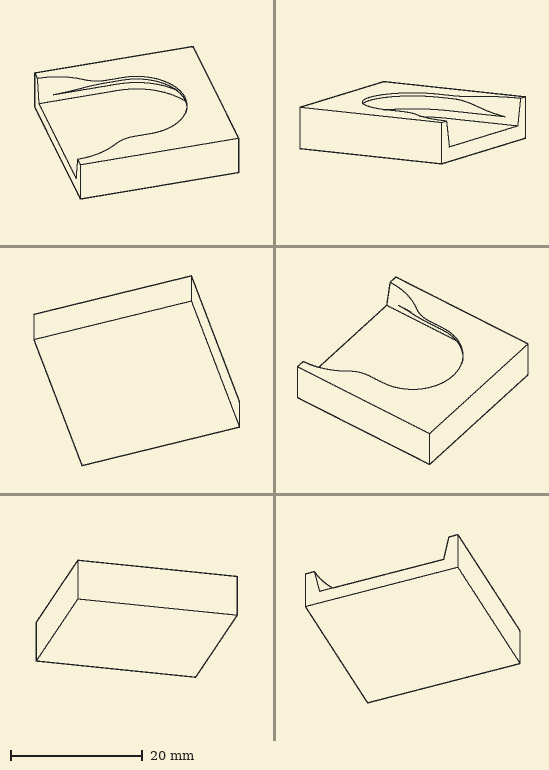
import cadquery as cq

side = 25.0
height = 6.4

floor_z = 2.28
undercut_z = 3.48
neck_z = 5.92
undercut_radius = 10.15
neck_radius = 7.62
end_center_y = 0.0

flare_bottom_radius = undercut_radius
flare_top_radius = 11.0
flare_blend_radius = 4.75

front_y = -side / 2
slot_depth = height - floor_z
corner_margin = 0.25
runout = side


def slot_slab(radius, bottom, thickness):
    """Straight-walled slot with a semicircular rear end."""
    start_y = front_y - runout
    return (
        cq.Workplane("XY", origin=(0, 0, bottom))
        .moveTo(-radius, start_y)
        .lineTo(radius, start_y)
        .lineTo(radius, end_center_y)
        .threePointArc((0, end_center_y + radius), (-radius, end_center_y))
        .close()
        .extrude(thickness)
    )


def undercut():
    """Wide lower slot with walls that slope inward up to the neck."""
    lower = slot_slab(undercut_radius, floor_z, undercut_z - floor_z)
    half_profile = [
        (0, undercut_z),
        (undercut_radius, undercut_z),
        (neck_radius, neck_z),
        (0, neck_z),
    ]
    sloped_end = (
        cq.Workplane("XZ", origin=(0, end_center_y, 0))
        .polyline(half_profile)
        .close()
        .revolve(360, (0, 0), (0, 1))
    )
    full_profile = [
        (-undercut_radius, undercut_z),
        (undercut_radius, undercut_z),
        (neck_radius, neck_z),
        (-neck_radius, neck_z),
    ]
    sloped_run = (
        cq.Workplane("XZ", origin=(0, end_center_y, 0))
        .polyline(full_profile)
        .close()
        .extrude(end_center_y - front_y + runout)
    )
    return lower.union(sloped_end).union(sloped_run)


def flared_neck():
    """Neck slot joined to the entrance cone by rounded corners."""
    neck = slot_slab(neck_radius, floor_z, slot_depth)
    cone = cq.Workplane(
        cq.Solid.makeCone(
            flare_bottom_radius,
            flare_top_radius,
            slot_depth,
            cq.Vector(0, front_y, floor_z),
        )
    )
    corner_search = cq.selectors.BoxSelector(
        (-flare_top_radius, front_y, floor_z + corner_margin),
        (flare_top_radius, end_center_y - corner_margin, height - corner_margin),
    )
    corners = neck.union(cone).edges(corner_search)
    return corners.fillet(flare_blend_radius)


block = cq.Workplane("XY").box(side, side, height, centered=(True, True, False))
result = block.cut(undercut()).cut(flared_neck())